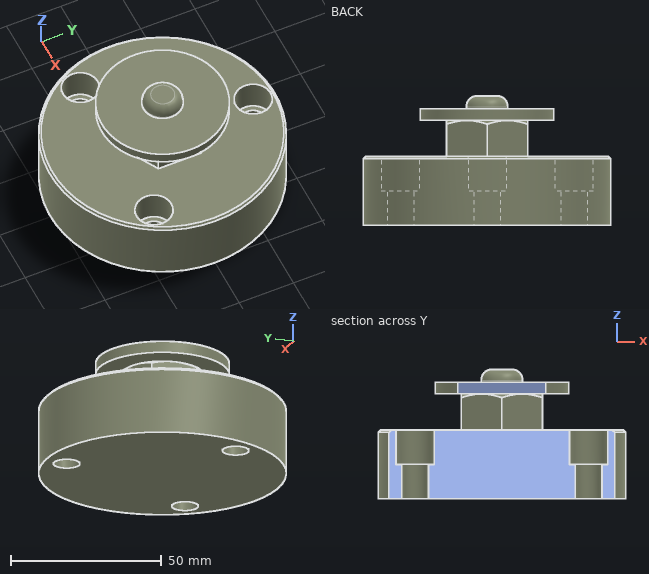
import cadquery as cq
import math

base_diameter = 82.55
base_height = 22.95
base_chamfer = 0.8

mount_count = 3
mount_circle_radius = 33.35
mount_hole_diameter = 8.8
counterbore_diameter = 12.7
counterbore_depth = base_height / 2
first_mount_angle = 90.0

nut_across_flats = 27.1
nut_height = 12.0
nut_across_corners = nut_across_flats / math.cos(math.radians(30))
nut_chamfer_angle = 30.0

washer_diameter = 44.6
washer_height = 4.0

stud_diameter = 13.9
stud_height = 4.2
stud_tip_diameter = 8.0
stud_round_height = 3.55

nut_bottom = base_height
washer_bottom = nut_bottom + nut_height
stud_bottom = washer_bottom + washer_height


def make_base():
    """Disc with a chamfered top rim and three counterbored through holes."""
    disc = cq.Workplane("XY").circle(base_diameter / 2).extrude(base_height)
    disc = disc.faces(">Z").edges().chamfer(base_chamfer)
    return (
        disc.faces(">Z").workplane(origin=(0, 0, base_height))
        .polarArray(mount_circle_radius, first_mount_angle, 360, mount_count)
        .cboreHole(mount_hole_diameter, counterbore_diameter, counterbore_depth)
    )


def make_nut():
    """Hexagon whose upper corners are cut back by a cone."""
    hexagon = (
        cq.Workplane("XY", origin=(0, 0, nut_bottom))
        .polygon(6, nut_across_corners)
        .extrude(nut_height)
        .rotate((0, 0, 0), (0, 0, 1), 90)
    )
    flat_radius = nut_across_flats / 2
    corner_radius = nut_across_corners / 2
    corner_drop = (corner_radius - flat_radius) * math.tan(math.radians(nut_chamfer_angle))
    cone_envelope = (
        cq.Workplane("XZ")
        .moveTo(0, nut_bottom)
        .lineTo(corner_radius, nut_bottom)
        .lineTo(corner_radius, washer_bottom - corner_drop)
        .lineTo(flat_radius, washer_bottom)
        .lineTo(0, washer_bottom)
        .close()
        .revolve(360, (0, 0, 0), (0, 1, 0))
    )
    return hexagon.intersect(cone_envelope)


def make_washer():
    """Plain round plate on top of the nut."""
    return (
        cq.Workplane("XY", origin=(0, 0, washer_bottom))
        .circle(washer_diameter / 2)
        .extrude(washer_height)
    )


def make_stud():
    """Short cylinder with a rounded shoulder and a flat tip."""
    shoulder_level = stud_bottom + stud_height - stud_round_height
    tip_level = stud_bottom + stud_height
    stud_radius = stud_diameter / 2
    tip_radius = stud_tip_diameter / 2
    return (
        cq.Workplane("XZ")
        .moveTo(0, stud_bottom)
        .lineTo(stud_radius, stud_bottom)
        .lineTo(stud_radius, shoulder_level)
        .tangentArcPoint((tip_radius, tip_level), relative=False)
        .lineTo(0, tip_level)
        .close()
        .revolve(360, (0, 0, 0), (0, 1, 0))
    )


base = make_base()
nut = make_nut()
washer = make_washer()
stud = make_stud()

result = cq.Compound.makeCompound([base.val(), nut.val(), washer.val(), stud.val()])